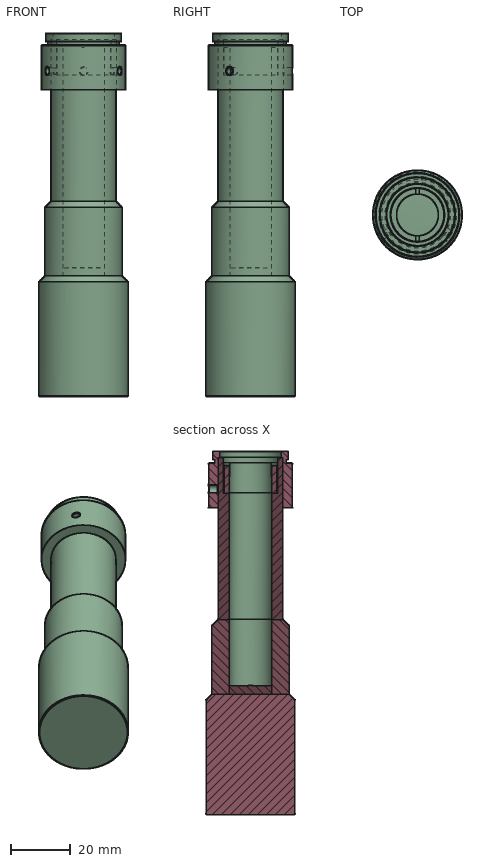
import cadquery as cq

total_height = 121.79
mount_thread_height = 4.0
undercut_height = 1.0
collar_height = 15.0
collar_top = total_height - mount_thread_height
collar_bottom = collar_top - collar_height
front_barrel_top = 40.45
middle_barrel_top = 65.4

front_barrel_diameter = 30.0
middle_barrel_diameter = 26.0
middle_neck_diameter = 22.0
tube_diameter = 21.8
collar_diameter = 28.2
mount_thread_diameter = 25.4
undercut_diameter = 24.0

front_rim_chamfer = 0.3
collar_chamfer = 0.2
thread_chamfer = 0.2
mouth_chamfer = 0.2

mouth_diameter = 20.6
mouth_depth = 2.1
tube_top = total_height - mouth_depth

sleeve_diameter = 17.8
sleeve_seat_diameter = 18.2
bore_diameter = 14.0
sleeve_length = 10.0
sleeve_recess = 1.9
sleeve_top = tube_top - sleeve_recess
sleeve_bottom = sleeve_top - sleeve_length
slot_width = 1.1
slot_depth = 0.8

lens_thickness = 3.0
lens_crown_radius = 100.0
lens_bottom = front_barrel_top
lens_top = lens_bottom + lens_thickness

screw_diameter = 2.5
screw_mouth_diameter = 3.0
screw_height = collar_bottom + 6.3
screw_angles = (90, 210, 330)
screw_head_radius = 11.2


def cylinder(diameter, bottom, top):
    """Upright cylinder on the optical axis."""
    return cq.Workplane("XY").workplane(offset=bottom).circle(diameter / 2).extrude(top - bottom)


def bevelled_barrel(diameter, bottom, top, neck_diameter):
    """Solid barrel whose top edge is bevelled at 45 degrees down to the neck diameter."""
    bevel = (diameter - neck_diameter) / 2
    return (
        cq.Workplane("XZ")
        .moveTo(0, bottom)
        .lineTo(diameter / 2, bottom)
        .lineTo(diameter / 2, top - bevel)
        .lineTo(neck_diameter / 2, top)
        .lineTo(0, top)
        .close()
        .revolve(360, (0, 0, 0), (0, 1, 0))
    )


def place_radially(shape, angle):
    """Turn a shape built along +X to a screw position."""
    return shape.rotate((0, 0, 0), (0, 0, 1), angle).translate((0, 0, screw_height))


def make_front_barrel():
    barrel = bevelled_barrel(front_barrel_diameter, 0, front_barrel_top, middle_barrel_diameter)
    return barrel.faces("<Z").chamfer(front_rim_chamfer)


def make_middle_barrel():
    barrel = bevelled_barrel(
        middle_barrel_diameter, front_barrel_top, middle_barrel_top, middle_neck_diameter
    )
    return barrel.cut(cylinder(bore_diameter, front_barrel_top, middle_barrel_top))


def make_tube():
    tube = cylinder(tube_diameter, middle_barrel_top, tube_top)
    tube = tube.cut(cylinder(bore_diameter, middle_barrel_top, tube_top))
    return tube.cut(cylinder(sleeve_seat_diameter, sleeve_bottom, tube_top))


def make_screw_hole(angle):
    """Hole from the tube outwards, with its mouth flared at the collar surface."""
    flare = (screw_mouth_diameter - screw_diameter) / 2
    collar_radius = collar_diameter / 2
    hole = cq.Workplane("YZ").circle(screw_diameter / 2).extrude(collar_radius)
    overrun = 1.0
    cone = (
        cq.Workplane("YZ")
        .workplane(offset=collar_radius - flare)
        .circle(screw_diameter / 2)
        .workplane(offset=flare + overrun)
        .circle(screw_mouth_diameter / 2 + overrun)
        .loft()
    )
    return place_radially(hole.union(cone), angle)


def make_mount():
    thread = cylinder(mount_thread_diameter, collar_top + undercut_height, total_height)
    thread = thread.edges("%CIRCLE").chamfer(thread_chamfer)
    mount = cylinder(collar_diameter, collar_bottom, collar_top).faces(">Z").chamfer(collar_chamfer)
    mount = mount.union(cylinder(undercut_diameter, collar_top, collar_top + undercut_height))
    mount = mount.union(thread)
    mount = mount.cut(cylinder(mouth_diameter, collar_bottom, total_height))
    top_edges = mount.faces(">Z").edges("%CIRCLE")
    mount = top_edges.edges(cq.selectors.RadiusNthSelector(0)).chamfer(mouth_chamfer)
    mount = mount.cut(cylinder(tube_diameter, collar_bottom, tube_top))
    for angle in screw_angles:
        mount = mount.cut(make_screw_hole(angle))
    return mount


def make_sleeve():
    sleeve = cylinder(sleeve_diameter, sleeve_bottom, sleeve_top)
    sleeve = sleeve.cut(cylinder(bore_diameter, sleeve_bottom, sleeve_top))
    slot = (
        cq.Workplane("XY")
        .workplane(offset=sleeve_top)
        .rect(slot_width, sleeve_seat_diameter)
        .extrude(-slot_depth)
    )
    return sleeve.cut(slot)


def make_lens():
    crown = cq.Workplane("XZ").sphere(lens_crown_radius).translate((0, 0, lens_top - lens_crown_radius))
    return cylinder(bore_diameter, lens_bottom, lens_top).intersect(crown)


def make_screw(angle):
    screw = cq.Workplane("YZ").circle(screw_diameter / 2).extrude(screw_head_radius)
    return place_radially(screw, angle).cut(cylinder(tube_diameter, collar_bottom, collar_top))


front_barrel = make_front_barrel()
middle_barrel = make_middle_barrel()
tube = make_tube()
mount = make_mount()
sleeve = make_sleeve()
lens = make_lens()
screws = [make_screw(angle) for angle in screw_angles]

result = cq.Compound.makeCompound(
    [
        front_barrel.val(),
        middle_barrel.val(),
        tube.val(),
        mount.val(),
        sleeve.val(),
        lens.val(),
        *[screw.val() for screw in screws],
    ]
)